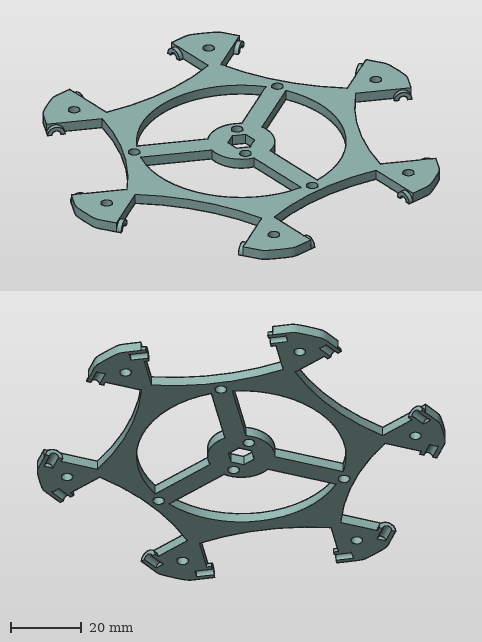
import cadquery as cq
import math

span_x = 116.0
span_y = 104.6
thickness = 3.0

arm_count = 6
arm_step = 360.0 / arm_count
arm_edge_offset = 18.9
arm_hole_radius = 50.0
tip_corner_fillet = 5.0

window_radius = 29.6
scallop_radius = 69.6
scallop_floor = 33.7

hub_radius = 9.5
spoke_width = 6.0
spoke_angles = (90.0, 210.0, 330.0)
hex_sides = 6
hex_across_flats = 6.6
hub_hole_radius = 6.5
hub_hole_angles = (120.0, 300.0)
spoke_hole_radius = 30.7
hole_diameter = 3.2

socket_radius = 2.5
socket_bore_radius = 1.3
socket_height = 1.4
socket_bore_depth = 5.0

half_step = math.radians(arm_step / 2)
tip_radius = span_x / 2
side_flat_distance = span_y / 2
tip_half_angle = half_step - math.acos(side_flat_distance / tip_radius)
tip_corner_x = tip_radius * math.cos(tip_half_angle)
tip_corner_y = tip_radius * math.sin(tip_half_angle)
arm_apex_x = arm_edge_offset / math.sin(half_step)
arm_heel_x = side_flat_distance * math.cos(half_step) + arm_edge_offset * math.sin(half_step)
arm_heel_y = side_flat_distance * math.sin(half_step) - arm_edge_offset * math.cos(half_step)


def polar(radius, angle):
    """Point at a radius and an angle in degrees."""
    return (radius * math.cos(math.radians(angle)), radius * math.sin(math.radians(angle)))


def about_z(shape, angle):
    """Shape turned about the Z axis by an angle in degrees."""
    return shape.rotate((0, 0, 0), (0, 0, 1), angle)


def make_arm():
    """Fan-shaped arm pointing along +X, starting at the point where its sides meet."""
    arm = (
        cq.Workplane("XY")
        .moveTo(arm_apex_x, 0)
        .lineTo(arm_heel_x, -arm_heel_y)
        .lineTo(tip_corner_x, -tip_corner_y)
        .threePointArc((tip_radius, 0), (tip_corner_x, tip_corner_y))
        .lineTo(arm_heel_x, arm_heel_y)
        .close()
        .extrude(thickness)
    )
    for corner_y in (-tip_corner_y, tip_corner_y):
        corner = cq.selectors.NearestToPointSelector((tip_corner_x, corner_y, thickness / 2))
        arm = arm.edges("|Z").edges(corner).fillet(tip_corner_fillet)
    return arm


def make_ring():
    """Scalloped body with a round window; its six points run into the arms."""
    scallop_centre = scallop_floor + scallop_radius
    point_radius = scallop_centre * math.cos(half_step) - math.sqrt(
        scallop_radius**2 - (scallop_centre * math.sin(half_step)) ** 2
    )
    outline = cq.Workplane("XY").moveTo(point_radius, 0)
    for index in range(arm_count):
        middle = polar(scallop_floor, (index + 0.5) * arm_step)
        end = polar(point_radius, (index + 1) * arm_step)
        outline = outline.threePointArc(middle, end)
    ring = outline.close().extrude(thickness)
    return ring.cut(cq.Workplane("XY").circle(window_radius).extrude(thickness))


def socket_plane(side):
    """Plane on an arm side, facing outward; side is +1 (left of the arm axis) or -1 (right)."""
    along = (math.cos(half_step), side * math.sin(half_step), 0)
    outward = (-math.sin(half_step), side * math.cos(half_step), 0)
    origin = (
        arm_heel_x - socket_radius * along[0],
        side * arm_heel_y - socket_radius * along[1],
        0,
    )
    return cq.Plane(origin=origin, xDir=along, normal=outward)


def make_socket(side):
    """Upper half of a short cylinder, standing on the arm side."""
    post = cq.Workplane(socket_plane(side)).circle(socket_radius).extrude(socket_height)
    upper_half = cq.Workplane("XY").rect(2 * span_x, 2 * span_x).extrude(thickness)
    return post.intersect(upper_half)


def make_socket_bore(side):
    """Blind bore running from the open end of the socket into the arm."""
    mouth = cq.Workplane(socket_plane(side)).workplane(offset=socket_height)
    return mouth.circle(socket_bore_radius).extrude(-socket_bore_depth)


def make_spoke(angle):
    """Bar from the centre to the spoke-end hole, where it is buried in the ring."""
    spoke_length = spoke_hole_radius
    spoke = cq.Workplane("XY").rect(spoke_length, spoke_width).extrude(thickness)
    return about_z(spoke.translate((spoke_length / 2, 0, 0)), angle)


result = make_ring().union(cq.Workplane("XY").circle(hub_radius).extrude(thickness))
for angle in spoke_angles:
    result = result.union(make_spoke(angle))

arm = make_arm()
for side in (1, -1):
    arm = arm.union(make_socket(side))
    arm = arm.cut(make_socket_bore(side))
arm_angles = [index * arm_step for index in range(arm_count)]
for angle in arm_angles:
    result = result.union(about_z(arm, angle))

hex_half_step = 180.0 / hex_sides
hex_corner_diameter = hex_across_flats / math.cos(math.radians(hex_half_step))
hex_hole = cq.Workplane("XY").polygon(hex_sides, hex_corner_diameter).extrude(thickness)
result = result.cut(about_z(hex_hole, hex_half_step))

hole_centres = [polar(arm_hole_radius, angle) for angle in arm_angles]
hole_centres += [polar(spoke_hole_radius, angle) for angle in spoke_angles]
hole_centres += [polar(hub_hole_radius, angle) for angle in hub_hole_angles]
holes = cq.Workplane("XY").pushPoints(hole_centres).circle(hole_diameter / 2).extrude(thickness)
result = result.cut(holes)